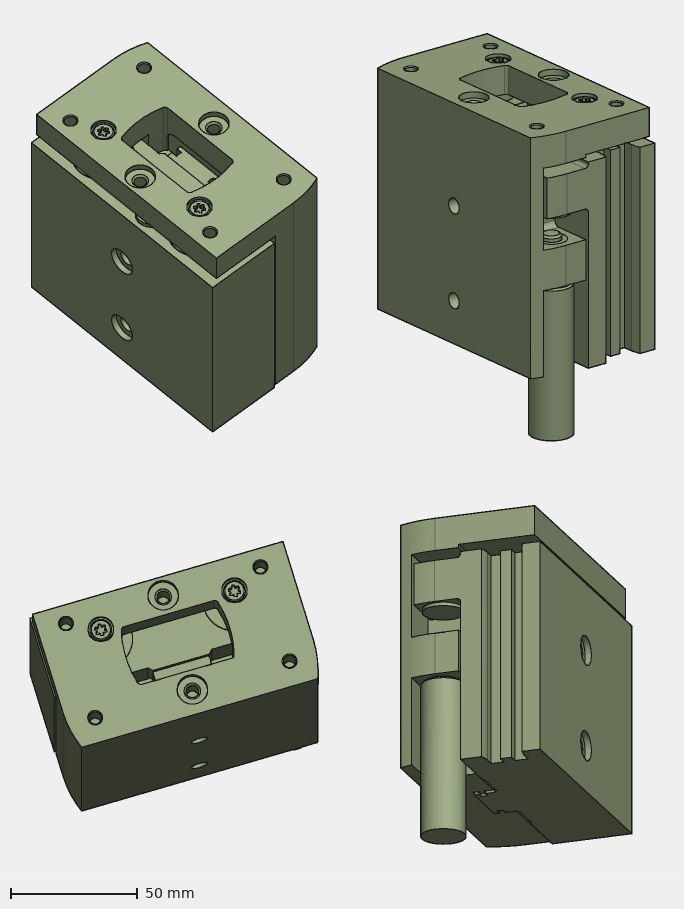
import cadquery as cq
import math


TOTAL_HEIGHT = 130.5
PLATE_BOTTOM = 118.2
HOUSING_TOP = 115.0
HOUSING_BOTTOM = 27.7
LEDGE_TOP = 112.6

SIDE_ARC_START = 44.4
SIDE_ARC_RADIUS = 42.7
SLIDE_FACE = 34.5

PITCH = 40.0
FIXING_BORE = 6.7
CENTRING_BORE = 12.0
CENTRING_DEPTH = 2.6

HOUSING_WIDTH = 104.0
HOUSING_BACK = 33.5
RELIEF_FACE = 32.8
RELIEF_HALF_WIDTH = 26.1
SLOT_FRONT = 7.6
SLOT_BACK = 24.7
SLOT_DEPTH = 8.9
SLOT_LIP_DEPTH = 4.5
SLOT_LIP_RISE = 0.8
SLOT_RIB_FRONT = 13.8
SLOT_RIB_BACK = 18.5
SLOT_RIB_SETBACK = 4.8
ARM_WIDTH = 19.6
ARM_BACK = 53.5
ARM_BOTTOM = 95.4
ARM_FILLET = 1.6
SELECT_MARGIN = 0.1
BUMPER_DIAMETER = 16.7
BUMPER_HEIGHT = 1.5
LOWER_HOLE_Z = 46.8
RAIL_HALF_WIDTH = 11.6
RAIL_BACK = 42.8
RAIL_FOOT = 1.6
GROOVE_HALF_WIDTH = 9.1
TONGUE_CENTRE = 39.5
GROOVE_HEIGHT = 2.7

SLIDE_WIDTH = 103.2
SLIDE_FRONT = 2.5
SLIDE_BACK = 60
SLIDE_BOTTOM = 28.6
WINDOW_FRONT = 17.7
WINDOW_BACK = 42.3
WINDOW_END_HALF_WIDTH = 19.6
WINDOW_HALF_WIDTH = 21.4
WINDOW_FILLET = 1.6
WINDOW_FLOOR = 104.4
ARCH_HALF_WIDTH = 18.8
ARCH_TOP = 116.8
ARCH_RADIUS = 4.8
CHANNEL_HALF_WIDTH = 12.0
CHANNEL_BACK = 43
TONGUE_HALF_WIDTH = 9.5
TONGUE_HEIGHT = 2.2
CUTOUT_DEPTH = 19.7
CUTOUT_BACK = 54.7
CUTOUT_TOP = 116.9
CUTOUT_FILLET = 2.5
BLOCK_TOP = 82.2
BLOCK_BOTTOM = 65.1
THREAD_BORE = 5.0
CORNER_THREAD_MOUTH = 5.9
CORNER_THREAD_DEPTH = 10.5
CENTRE_THREAD_MOUTH = 6.5
FRONT_HOLE_Y = 9.9

STOP_X = -42.2
STOP_DIAMETER = 18.0
STOP_BODY_TOP = 64.2
STOP_EDGE = 0.8
SHANK_DIAMETER = 12.9
TIP_DIAMETER = 8.5
TIP_HEIGHT = 2.3
TIP_EDGE = 0.9

ROD_X = 27.5
ROD_Y = 16.0
ROD_DIAMETER = 12.1
ROD_DEPTH = 10.5
HEAD_DIAMETER = 8.6
HEAD_TOP = 129.6
HEAD_EDGE = 0.5
HEAD_COUNTERBORE = 10.0
PISTON_RECESS = 25.0
PISTON_RECESS_DEPTH = 0.4
SOCKET_CORE = 3.1
SOCKET_LOBE = 1.3
SOCKET_REACH = 1.8
SOCKET_DEPTH = 2.0
SOCKET_LOBES = 6

PLUG_X = 8.0
PLUG_Y = 8.6
PLUG_DIAMETER = 12.9
PLUG_TOP = 116.8
PLUG_CAP_DIAMETER = 7.3
PLUG_CAP_HEIGHT = 1.2
PLUG_CAP_EDGE = 0.4

FIXING_HEIGHTS = (LOWER_HOLE_Z, LOWER_HOLE_Z + PITCH)
BACK_HOLE_Y = FRONT_HOLE_Y + PITCH


def box(x0, x1, y0, y1, z0, z1):
    return cq.Workplane("XY").box(x1 - x0, y1 - y0, z1 - z0, centered=False).translate((x0, y0, z0))


def upright(x, y, diameter, z0, z1):
    return cq.Workplane("XY", origin=(x, y, z0)).circle(diameter / 2).extrude(z1 - z0)


def front_bore(z, diameter, depth):
    """Cylinder along +Y that starts at the housing front."""
    return cq.Workplane("XZ", origin=(0, 0, z)).circle(diameter / 2).extrude(-depth)


def round_sided(width, front, back, bottom, top):
    """Block whose straight sides run into arcs behind the stop axis."""
    half = width / 2

    def arc_inset(y):
        run = y - SIDE_ARC_START
        return SIDE_ARC_RADIUS - math.sqrt(SIDE_ARC_RADIUS**2 - run**2)

    middle_y = (SIDE_ARC_START + back) / 2
    corner_x = half - arc_inset(back)
    middle_x = half - arc_inset(middle_y)
    outline = (
        cq.Workplane("XY", origin=(0, 0, bottom))
        .moveTo(-half, front)
        .lineTo(half, front)
        .lineTo(half, SIDE_ARC_START)
        .threePointArc((middle_x, middle_y), (corner_x, back))
        .lineTo(-corner_x, back)
        .threePointArc((-middle_x, middle_y), (-half, SIDE_ARC_START))
        .close()
    )
    return outline.extrude(top - bottom)


def tongue_slots(half_width, height, outer):
    """Two side strips, from half_width out to outer, at the tongues of the guide."""
    y0 = TONGUE_CENTRE - height / 2
    y1 = TONGUE_CENTRE + height / 2
    right = box(half_width, outer, y0, y1, HOUSING_BOTTOM, LEDGE_TOP)
    return right.union(right.mirror("YZ"))


def housing_side_slots():
    """Two sensor slots along the -X side with a set-back rib between them."""
    side = -HOUSING_WIDTH / 2
    throat = side + SLOT_LIP_DEPTH
    floor = side + SLOT_DEPTH
    slot = (
        cq.Workplane("XY", origin=(0, 0, HOUSING_BOTTOM))
        .moveTo(floor, SLOT_FRONT + SLOT_LIP_RISE)
        .lineTo(floor, SLOT_BACK - SLOT_LIP_RISE)
        .lineTo(throat, SLOT_BACK - SLOT_LIP_RISE)
        .tangentArcPoint((side, SLOT_BACK), relative=False)
        .lineTo(side, SLOT_FRONT)
        .lineTo(throat, SLOT_FRONT + SLOT_LIP_RISE)
        .close()
        .extrude(HOUSING_TOP - HOUSING_BOTTOM)
    )
    rib_side = side + SLOT_RIB_SETBACK
    rib = box(rib_side, floor, SLOT_RIB_FRONT, SLOT_RIB_BACK, HOUSING_BOTTOM, HOUSING_TOP)
    return slot.cut(rib)


def stop_arm():
    """Arm on the -X side, with the bumper that meets the stop under it."""
    side = -HOUSING_WIDTH / 2
    arm = round_sided(HOUSING_WIDTH, HOUSING_BACK, ARM_BACK, ARM_BOTTOM, LEDGE_TOP).intersect(
        box(side, side + ARM_WIDTH, HOUSING_BACK, ARM_BACK, ARM_BOTTOM, LEDGE_TOP)
    )
    bumper = upright(STOP_X, SIDE_ARC_START, BUMPER_DIAMETER, ARM_BOTTOM - BUMPER_HEIGHT, ARM_BOTTOM)
    return arm.union(bumper)


def guide_rail():
    """Rail with a taller flared foot and one groove along each side."""
    foot = (
        cq.Workplane("XY", origin=(0, 0, HOUSING_BOTTOM))
        .moveTo(-RAIL_HALF_WIDTH - RAIL_FOOT, RELIEF_FACE)
        .lineTo(RAIL_HALF_WIDTH + RAIL_FOOT, RELIEF_FACE)
        .lineTo(RAIL_HALF_WIDTH, RELIEF_FACE + RAIL_FOOT)
        .lineTo(-RAIL_HALF_WIDTH, RELIEF_FACE + RAIL_FOOT)
        .close()
        .extrude(HOUSING_TOP - HOUSING_BOTTOM)
    )
    rail = foot.union(
        box(-RAIL_HALF_WIDTH, RAIL_HALF_WIDTH, RELIEF_FACE, RAIL_BACK, HOUSING_BOTTOM, LEDGE_TOP)
    )
    return rail.cut(tongue_slots(GROOVE_HALF_WIDTH, GROOVE_HEIGHT, RAIL_HALF_WIDTH))


def make_housing():
    half = HOUSING_WIDTH / 2
    body = box(-half, half, 0, HOUSING_BACK, HOUSING_BOTTOM, HOUSING_TOP).union(stop_arm())
    arm_roots = cq.selectors.BoxSelector(
        (-half, HOUSING_BACK - SELECT_MARGIN, ARM_BOTTOM - SELECT_MARGIN),
        (0, HOUSING_BACK + SELECT_MARGIN, LEDGE_TOP + SELECT_MARGIN),
    )
    body = body.edges("|X").edges(arm_roots).fillet(ARM_FILLET)
    body = body.cut(
        box(-RELIEF_HALF_WIDTH, RELIEF_HALF_WIDTH, RELIEF_FACE, HOUSING_BACK, HOUSING_BOTTOM, HOUSING_TOP)
    )
    body = body.union(guide_rail()).cut(housing_side_slots())
    for x in (-ROD_X, ROD_X):
        recess_floor = HOUSING_TOP - PISTON_RECESS_DEPTH
        body = body.cut(upright(x, ROD_Y, PISTON_RECESS, recess_floor, HOUSING_TOP))
        body = body.cut(upright(x, ROD_Y, ROD_DIAMETER, HOUSING_TOP - ROD_DEPTH, HOUSING_TOP))
    for z in FIXING_HEIGHTS:
        body = body.cut(front_bore(z, CENTRING_BORE, CENTRING_DEPTH))
        body = body.cut(front_bore(z, FIXING_BORE, SLIDE_BACK))
    return body


def slide_window():
    """Opening with bowed ends through the top plate and into the back plate."""
    middle_y = (WINDOW_FRONT + WINDOW_BACK) / 2
    return (
        cq.Workplane("XY", origin=(0, 0, WINDOW_FLOOR))
        .moveTo(-WINDOW_END_HALF_WIDTH, WINDOW_FRONT)
        .lineTo(WINDOW_END_HALF_WIDTH, WINDOW_FRONT)
        .threePointArc((WINDOW_HALF_WIDTH, middle_y), (WINDOW_END_HALF_WIDTH, WINDOW_BACK))
        .lineTo(-WINDOW_END_HALF_WIDTH, WINDOW_BACK)
        .threePointArc((-WINDOW_HALF_WIDTH, middle_y), (-WINDOW_END_HALF_WIDTH, WINDOW_FRONT))
        .close()
        .extrude(TOTAL_HEIGHT - WINDOW_FLOOR)
        .edges("|Z")
        .fillet(WINDOW_FILLET)
    )


def rail_channel():
    """Clearance for the guide rail, with an arched top end in the window's back wall."""
    channel = box(
        -CHANNEL_HALF_WIDTH, CHANNEL_HALF_WIDTH, SLIDE_FACE, CHANNEL_BACK, SLIDE_BOTTOM, LEDGE_TOP
    )
    channel = channel.cut(tongue_slots(TONGUE_HALF_WIDTH, TONGUE_HEIGHT, CHANNEL_HALF_WIDTH))
    arch = (
        box(-ARCH_HALF_WIDTH, ARCH_HALF_WIDTH, SLIDE_FACE, CHANNEL_BACK, WINDOW_FLOOR, ARCH_TOP)
        .edges("|Y and >Z")
        .fillet(ARCH_RADIUS)
    )
    return channel.union(arch)


def stop_cutout(bottom, top, rounded_edges):
    """Cutout in the -X edge of the back plate, rounded along its inner edges."""
    side = -SLIDE_WIDTH / 2
    cutout = box(side, side + CUTOUT_DEPTH, SLIDE_FACE, CUTOUT_BACK, bottom, top)
    return cutout.edges(rounded_edges).fillet(CUTOUT_FILLET)


def threaded_hole(x, y, mouth_diameter, bottom, top):
    """Hole with a chamfered mouth at its top."""
    mouth_depth = (mouth_diameter - THREAD_BORE) / 2
    mouth = (
        cq.Workplane("XY", origin=(x, y, top))
        .circle(mouth_diameter / 2)
        .workplane(offset=-mouth_depth)
        .circle(THREAD_BORE / 2)
        .loft()
    )
    return mouth.union(upright(x, y, THREAD_BORE, bottom, top))


def make_slide():
    body = round_sided(SLIDE_WIDTH, SLIDE_FRONT, SLIDE_BACK, SLIDE_BOTTOM, TOTAL_HEIGHT)
    half = SLIDE_WIDTH / 2
    body = body.cut(box(-half, half, SLIDE_FRONT, SLIDE_FACE, SLIDE_BOTTOM, PLATE_BOTTOM))
    body = body.cut(slide_window()).cut(rail_channel())
    body = body.cut(stop_cutout(BLOCK_TOP, CUTOUT_TOP, "|Y and >X"))
    body = body.cut(stop_cutout(SLIDE_BOTTOM, BLOCK_BOTTOM, "|Y and >X and >Z"))
    body = body.cut(upright(STOP_X, SIDE_ARC_START, SHANK_DIAMETER, BLOCK_BOTTOM, BLOCK_TOP))
    for y in (FRONT_HOLE_Y, BACK_HOLE_Y):
        for x in (-PITCH, PITCH):
            corner_floor = TOTAL_HEIGHT - CORNER_THREAD_DEPTH
            body = body.cut(threaded_hole(x, y, CORNER_THREAD_MOUTH, corner_floor, TOTAL_HEIGHT))
        centring_floor = TOTAL_HEIGHT - CENTRING_DEPTH
        body = body.cut(upright(0, y, CENTRING_BORE, centring_floor, TOTAL_HEIGHT))
        body = body.cut(threaded_hole(0, y, CENTRE_THREAD_MOUTH, PLATE_BOTTOM, centring_floor))
    for x in (-ROD_X, ROD_X):
        body = body.cut(upright(x, ROD_Y, HEAD_DIAMETER, PLATE_BOTTOM, TOTAL_HEIGHT))
        body = body.cut(upright(x, ROD_Y, HEAD_COUNTERBORE, HEAD_TOP - HEAD_EDGE, TOTAL_HEIGHT))
    for z in FIXING_HEIGHTS:
        body = body.cut(front_bore(z, FIXING_BORE, SLIDE_BACK))
    return body


def make_stop():
    body = upright(STOP_X, SIDE_ARC_START, STOP_DIAMETER, 0, STOP_BODY_TOP)
    body = body.faces(">Z").chamfer(STOP_EDGE)
    shank = upright(STOP_X, SIDE_ARC_START, SHANK_DIAMETER, STOP_BODY_TOP, BLOCK_TOP)
    tip = upright(STOP_X, SIDE_ARC_START, TIP_DIAMETER, BLOCK_TOP, BLOCK_TOP + TIP_HEIGHT)
    return body.union(shank).union(tip.faces(">Z").chamfer(TIP_EDGE))


def make_piston_rod(x):
    """Rod with the screw that holds it to the slide, driven by a six-lobed socket."""
    rod = upright(x, ROD_Y, ROD_DIAMETER, HOUSING_TOP - ROD_DEPTH, PLATE_BOTTOM)
    head = upright(x, ROD_Y, HEAD_DIAMETER, PLATE_BOTTOM, HEAD_TOP)
    rod = rod.union(head.faces(">Z").chamfer(HEAD_EDGE))
    socket_floor = HEAD_TOP - SOCKET_DEPTH
    rod = rod.cut(upright(x, ROD_Y, SOCKET_CORE, socket_floor, HEAD_TOP))
    for index in range(SOCKET_LOBES):
        angle = math.pi / 2 + index * 2 * math.pi / SOCKET_LOBES
        lobe_x = x + SOCKET_REACH * math.cos(angle)
        lobe_y = ROD_Y + SOCKET_REACH * math.sin(angle)
        rod = rod.cut(upright(lobe_x, lobe_y, SOCKET_LOBE, socket_floor, HEAD_TOP))
    return rod


def make_plug():
    disc = upright(PLUG_X, PLUG_Y, PLUG_DIAMETER, HOUSING_TOP, PLUG_TOP)
    cap = upright(PLUG_X, PLUG_Y, PLUG_CAP_DIAMETER, PLUG_TOP, PLUG_TOP + PLUG_CAP_HEIGHT)
    return disc.union(cap.faces(">Z").chamfer(PLUG_CAP_EDGE))


housing = make_housing()
slide = make_slide()
stop = make_stop()
piston_rods = [make_piston_rod(x) for x in (-ROD_X, ROD_X)]
plug = make_plug()

result = cq.Compound.makeCompound(
    [housing.val(), slide.val(), stop.val(), *[rod.val() for rod in piston_rods], plug.val()]
)